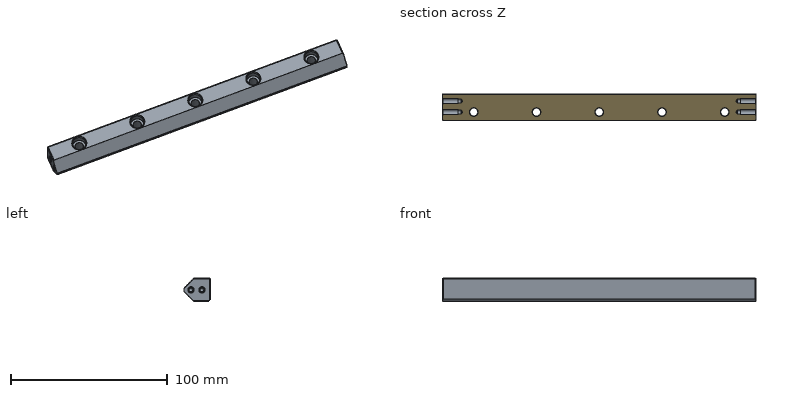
import cadquery as cq
import math

length = 200.0
width = 17.0
height = 15.0
nose_flat = 2.0
edge_chamfer = 0.5
lower_chamfer = 1.5

bolt_count = 5
bolt_pitch = length / bolt_count
bolt_diameter = 5.2
head_diameter = 8.5
head_rim_diameter = 9.5
head_depth = 4.5
bolt_row_y = -3.0

pilot_diameter = 2.5
pilot_depth = 12.0
thread_diameter = 3.0
thread_depth = 10.0
thread_rim_diameter = 4.0
drill_tip_angle = 118.0
end_hole_pitch = 7.0
end_hole_places = (bolt_row_y, bolt_row_y + end_hole_pitch)

top_z = height / 2
end_x = length / 2


def make_bar():
    """Block with broken end edges, its long edges bevelled and its +Y side cut to a nose."""
    nose_bevel = (height - nose_flat) / 2
    bar = cq.Workplane("XY").box(length, width, height)
    bar = bar.edges("|X and >Y").chamfer(nose_bevel)
    bar = bar.edges("|X and <Y and >Z").chamfer(edge_chamfer)
    bar = bar.edges("|X and <Y and <Z").chamfer(lower_chamfer)

    block = cq.Workplane("XY").box(length, width, height)
    block = block.faces("<X or >X").edges("not >Y").chamfer(edge_chamfer)
    return block.intersect(bar)


def revolve_about_z(half_outline):
    """Solid of revolution from (radius, z) points."""
    outline = cq.Workplane("XZ").polyline(half_outline).close()
    return outline.revolve(360, (0, 0, 0), (0, 1, 0))


def make_bolt_cutter():
    """Through hole below a counterbore with a 45-degree rim, its mouth at the origin."""
    rim_depth = (head_rim_diameter - head_diameter) / 2
    return revolve_about_z([
        (0, 0),
        (head_rim_diameter / 2, 0),
        (head_diameter / 2, -rim_depth),
        (head_diameter / 2, -head_depth),
        (bolt_diameter / 2, -head_depth),
        (bolt_diameter / 2, -height),
        (0, -height),
    ])


def make_end_cutter():
    """Thread bore with a 45-degree rim over a pilot with a drill tip, its mouth at the origin."""
    rim_depth = (thread_rim_diameter - thread_diameter) / 2
    tip_depth = pilot_diameter / 2 / math.tan(math.radians(drill_tip_angle / 2))
    return revolve_about_z([
        (0, 0),
        (thread_rim_diameter / 2, 0),
        (thread_diameter / 2, -rim_depth),
        (thread_diameter / 2, -thread_depth),
        (pilot_diameter / 2, -thread_depth),
        (pilot_diameter / 2, -pilot_depth),
        (0, -pilot_depth - tip_depth),
    ])


result = make_bar()

bolt_cutter = make_bolt_cutter()
for index in range(bolt_count):
    bolt_x = (index - (bolt_count - 1) / 2) * bolt_pitch
    result = result.cut(bolt_cutter.translate((bolt_x, bolt_row_y, top_z)))

end_cutter = make_end_cutter()
for side in (-1, 1):
    turned_cutter = end_cutter.rotate((0, 0, 0), (0, 1, 0), 90 * side)
    for hole_y in end_hole_places:
        result = result.cut(turned_cutter.translate((side * end_x, hole_y, 0)))